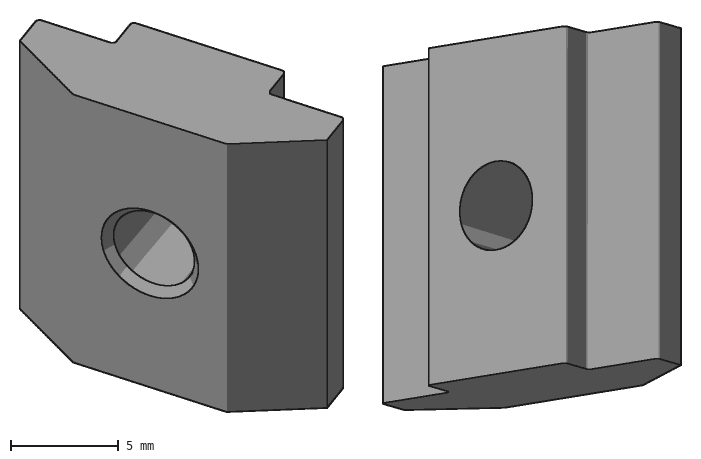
import cadquery as cq

width = 16.0
thickness = 6.0
length = 16.0

neck_width = 8.0
face_width = 8.0
neck_height = 1.8
flange_side = 1.8
corner_radius = 0.2
face_edge_radius = 0.24

hole_diameter = 4.2
countersink_diameter = 5.05
countersink_angle = 90.0

front_y = -thickness / 2
back_y = thickness / 2
shoulder_y = back_y - neck_height
bevel_y = shoulder_y - flange_side


def make_body():
    """Extrude the symmetric T-nut section along Z and round its long edges."""
    half_outline = [
        (face_width / 2, front_y),
        (width / 2, bevel_y),
        (width / 2, shoulder_y),
        (neck_width / 2, shoulder_y),
        (neck_width / 2, back_y),
    ]
    mirrored_outline = [(-x, y) for x, y in reversed(half_outline)]
    body = (
        cq.Workplane("XY")
        .polyline(half_outline + mirrored_outline)
        .close()
        .extrude(length / 2, both=True)
    )
    rounded_edges = [
        (face_width / 2, front_y, face_edge_radius),
        (width / 2, shoulder_y, corner_radius),
        (neck_width / 2, shoulder_y, corner_radius),
        (neck_width / 2, back_y, corner_radius),
    ]
    for x, y, radius in rounded_edges:
        for side in (-1, 1):
            edge = cq.selectors.NearestToPointSelector((side * x, y, 0))
            body = body.edges("|Z").edges(edge).fillet(radius)
    return body


def cut_hole(body):
    """Cut the through hole and its countersink from the -Y face."""
    front_face = cq.Workplane("XZ", origin=(0, front_y, 0))
    return (
        body.copyWorkplane(front_face)
        .cskHole(hole_diameter, countersink_diameter, countersink_angle)
    )


result = cut_hole(make_body())